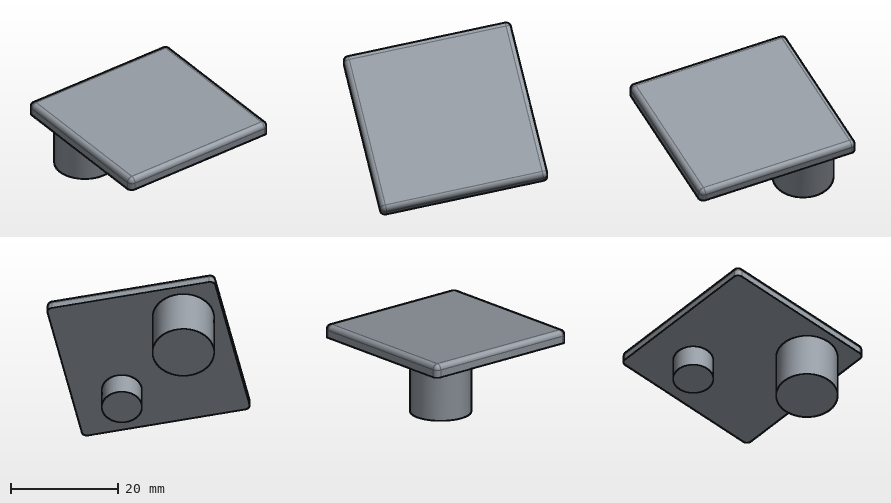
import cadquery as cq

plate_side = 32.0
plate_thickness = 2.5
edge_radius = 1.0

large_peg_diameter = 11.5
large_peg_length = 10.0
large_peg_position = -8.5

small_peg_diameter = 7.5
small_peg_length = 4.8
small_peg_position = 6.5


def make_plate():
    """Plate resting on Z = 0, rounded on its upright corners and top rim."""
    plate = cq.Workplane("XY").box(
        plate_side, plate_side, plate_thickness, centered=(True, True, False)
    )
    return plate.edges("|Z or >Z").fillet(edge_radius)


def make_peg(diameter, length, diagonal_position):
    """Peg hanging from the plate underside, centred on the plate diagonal."""
    return (
        cq.Workplane("XY")
        .center(diagonal_position, diagonal_position)
        .circle(diameter / 2)
        .extrude(-length)
    )


large_peg = make_peg(large_peg_diameter, large_peg_length, large_peg_position)
small_peg = make_peg(small_peg_diameter, small_peg_length, small_peg_position)

result = make_plate().union(large_peg).union(small_peg)